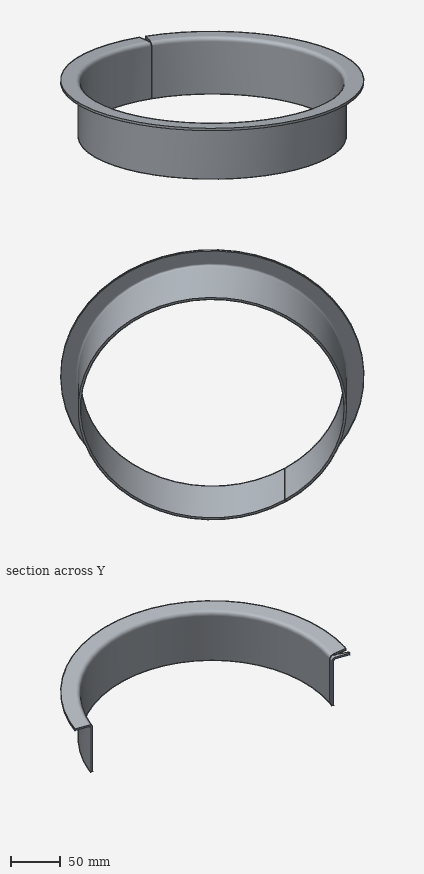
import cadquery as cq

height = 60.0
sheet_thickness = 2.5
flange_radius = 152.5
sleeve_outer_radius = 135.0
bend_inside_radius = 2.0

slit_angle = 2.0
slit_width = 0.6
notch_root_width = 1.6
notch_mouth_width = 7.2

sleeve_inner_radius = sleeve_outer_radius - sheet_thickness
bend_outside_radius = bend_inside_radius + sheet_thickness
bend_end_radius = sleeve_outer_radius + bend_inside_radius
flange_bottom = height - sheet_thickness
cut_margin = 1.0


def make_collar():
    """Revolve the bent sheet section about the Z axis."""
    section = (
        cq.Workplane("XZ")
        .moveTo(-sleeve_inner_radius, 0)
        .lineTo(-sleeve_outer_radius, 0)
        .lineTo(-sleeve_outer_radius, flange_bottom - bend_inside_radius)
        .radiusArc((-bend_end_radius, flange_bottom), -bend_inside_radius)
        .lineTo(-flange_radius, flange_bottom)
        .lineTo(-flange_radius, height)
        .lineTo(-bend_end_radius, height)
        .radiusArc((-sleeve_inner_radius, height - bend_outside_radius), bend_outside_radius)
        .close()
    )
    return section.revolve(360, (0, 0, 0), (0, 1, 0))


def make_slit():
    """Narrow full-height gap on the -X axis through the sleeve wall and the bend."""
    inner_x = -sleeve_inner_radius + bend_outside_radius
    length = inner_x + bend_end_radius + cut_margin
    return (
        cq.Workplane("XY")
        .center(inner_x - length / 2, 0)
        .rect(length, slit_width)
        .extrude(height)
    )


def make_flange_notch():
    """V-shaped gap on the -X axis, in the flat of the flange, open at the rim."""
    root_half = notch_root_width / 2
    mouth_half = notch_mouth_width / 2
    mouth_x = -flange_radius - cut_margin
    return (
        cq.Workplane("XY")
        .workplane(offset=flange_bottom)
        .moveTo(-bend_end_radius, -root_half)
        .lineTo(mouth_x, -mouth_half)
        .lineTo(mouth_x, mouth_half)
        .lineTo(-bend_end_radius, root_half)
        .close()
        .extrude(sheet_thickness)
    )


def make_split():
    """Slit and notch together, turned to the slit angle."""
    gap = make_slit().union(make_flange_notch())
    return gap.rotate((0, 0, 0), (0, 0, 1), slit_angle)


result = make_collar().cut(make_split())